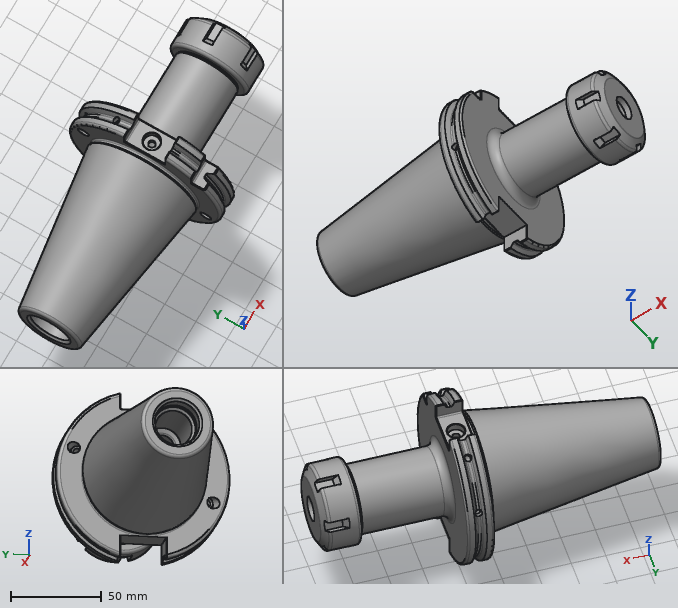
import cadquery as cq
import math


GAUGE_DIA = 69.85
TAPER_RATIO = 7 / 24
TAPER_LENGTH = 101.75
TAPER_END_FILLET = 2.0

NECK_DEPTH = 0.6
NECK_CHAMFER_LENGTH = 0.9
NECK_FILLET = 0.8

FLANGE_DIA = 97.5
FLANGE_START = 3.2
FLANGE_WIDTH = 15.9
FLANGE_REAR_FILLET = 1.7
FLANGE_FRONT_FILLET = 1.2
GRIP_GROOVE_X = 11.2
GRIP_GROOVE_WIDTH = 6.5
GRIP_GROOVE_DEPTH = 3.2
GRIP_GROOVE_HALF_ANGLE = 30
GRIP_GROOVE_FILLET = 1.0

DRIVE_SLOT_WIDTH = 25.7
TOP_SLOT_FLOOR = 37.7
BOTTOM_SLOT_FLOOR = 35.3
NOTCH_WALL_Y = -30.0
NOTCH_FLOOR_Z = 30.0
SLOT_CORNER_FILLET = 0.8
SLOT_EDGE_CHAMFER = 0.5
CHIP_HOLE_DIA = 10.0
CHIP_HOLE_DEPTH = 4.6
CHIP_HOLE_CHAMFER = 0.3
CHIP_PILOT_DIA = 4.2
CHIP_PILOT_DEPTH = 3.0
COOLANT_HOLE_DIA = 6.3
COOLANT_HOLE_DEPTH = 5.0
COOLANT_PILOT_DIA = 4.0
COOLANT_PILOT_DEPTH = 11.0
COOLANT_CIRCLE_RADIUS = 41.7
COOLANT_TILT = 28
COOLANT_ANGLE = 19.5
GROOVE_HOLE_DIA = 4.0
GROOVE_HOLE_DEPTH = 3.0
BALANCE_HOLE_ANGLE = 60
DRILL_POINT_ANGLE = 118

SHANK_DIA = 40.0
SHANK_FILLET = 5.0
SHANK_END = 72.0
SHANK_CHAMFER = 0.7

BORE_DIA = 14.0
MOUTH_DIA = 28.0
COUNTERBORE_DIA = 25.0
COUNTERBORE_DEPTH = 9.0
THREAD_RELIEF_DIA = 24.0
THREAD_RELIEF_LENGTH = 2.0
THREAD_BORE_DIA = 20.75
THREAD_BORE_DEPTH = 47.0
THREAD_END_DIA = 16.0

NOSE_END = 95.28
NUT_DIA = 50.0
NUT_LENGTH = 22.5
NUT_REAR_FILLET = 2.0
NUT_CONE_LENGTH = 3.7
NUT_CONE_ANGLE = 60
NUT_CONE_FILLET = 2.0
NUT_FACE_FILLET = 0.5
NUT_SLOT_COUNT = 6
NUT_SLOT_WIDTH = 6.0
NUT_SLOT_FLOOR_RADIUS = 21.7
NUT_SLOT_FLOOR_LENGTH = 12.2
NUT_SLOT_ANGLE = 10.7

OVERCUT = 1.0
EDGE_MARGIN = 0.01

GAUGE_RADIUS = GAUGE_DIA / 2
FLANGE_RADIUS = FLANGE_DIA / 2
FLANGE_END = FLANGE_START + FLANGE_WIDTH
SHANK_RADIUS = SHANK_DIA / 2
SPIGOT_RADIUS = SHANK_RADIUS - SHANK_CHAMFER
SPIGOT_END = NOSE_END - NUT_CONE_LENGTH
TAPER_REAR = -TAPER_LENGTH
TAPER_REAR_RADIUS = GAUGE_RADIUS - TAPER_LENGTH * TAPER_RATIO / 2
NUT_START = NOSE_END - NUT_LENGTH


def spin(outline):
    """Turn a closed outline in the XZ plane about the X axis."""
    return outline.revolve(360, (0, 0, 0), (1, 0, 0))


def revolve(points):
    """Turn a closed polygon of (x, radius) points about the X axis."""
    return spin(cq.Workplane("XZ").polyline(points).close())


def circle_at(x, radius):
    """Selector for the circular edge of this radius at this place along X."""
    return cq.selectors.BoxSelector(
        (x - EDGE_MARGIN, -radius - EDGE_MARGIN, -radius - EDGE_MARGIN),
        (x + EDGE_MARGIN, radius + EDGE_MARGIN, radius + EDGE_MARGIN),
        boundingbox=True,
    )


def drill_point_length(diameter):
    return diameter / 2 / math.tan(math.radians(DRILL_POINT_ANGLE / 2))


def turned_taper():
    neck_radius = GAUGE_RADIUS - NECK_DEPTH
    outline = (
        cq.Workplane("XZ")
        .moveTo(TAPER_REAR, 0)
        .lineTo(TAPER_REAR, TAPER_REAR_RADIUS)
        .lineTo(0, GAUGE_RADIUS)
        .lineTo(NECK_CHAMFER_LENGTH, neck_radius)
        .lineTo(FLANGE_START - NECK_FILLET, neck_radius)
        .radiusArc((FLANGE_START, neck_radius + NECK_FILLET), -NECK_FILLET)
        .lineTo(FLANGE_START, 0)
        .close()
    )
    taper = spin(outline)
    return taper.faces("<X").edges().fillet(TAPER_END_FILLET)


def grip_groove():
    half_top = GRIP_GROOVE_WIDTH / 2
    slope = math.tan(math.radians(GRIP_GROOVE_HALF_ANGLE))
    half_floor = half_top - GRIP_GROOVE_DEPTH * slope
    half_mouth = half_top + OVERCUT * slope
    root = FLANGE_RADIUS - GRIP_GROOVE_DEPTH
    mouth = FLANGE_RADIUS + OVERCUT
    ring = revolve([
        (GRIP_GROOVE_X - half_floor, root),
        (GRIP_GROOVE_X + half_floor, root),
        (GRIP_GROOVE_X + half_mouth, mouth),
        (GRIP_GROOVE_X - half_mouth, mouth),
    ])
    for x in (GRIP_GROOVE_X - half_floor, GRIP_GROOVE_X + half_floor):
        ring = ring.edges(circle_at(x, root)).fillet(GRIP_GROOVE_FILLET)
    return ring


def block(y_low, y_high, z_low, z_high):
    """A cutter across the whole flange width."""
    return cq.Workplane("XY").box(
        FLANGE_WIDTH, y_high - y_low, z_high - z_low, centered=False
    ).translate((FLANGE_START, y_low, z_low))


def slotted_flange():
    disc = cq.Workplane("YZ").workplane(offset=FLANGE_START).circle(FLANGE_RADIUS).extrude(FLANGE_WIDTH)
    disc = disc.faces("<X").edges().fillet(FLANGE_REAR_FILLET)
    disc = disc.faces(">X").edges().fillet(FLANGE_FRONT_FILLET)
    disc = disc.cut(grip_groove())

    outside = FLANGE_RADIUS + OVERCUT
    half_slot = DRIVE_SLOT_WIDTH / 2
    top_slot = block(-half_slot, half_slot, TOP_SLOT_FLOOR, outside)
    notch = block(-outside, NOTCH_WALL_Y, NOTCH_FLOOR_Z, outside)
    for rounded_cutter in (top_slot, notch):
        disc = disc.cut(rounded_cutter.edges("|X").fillet(SLOT_CORNER_FILLET))
    disc = disc.cut(block(-half_slot, half_slot, -outside, -BOTTOM_SLOT_FLOOR))

    straight_edges = disc.faces("<X or >X").edges("%LINE")
    broken_edges = straight_edges.filter(
        lambda edge: abs(edge.Center().z + BOTTOM_SLOT_FLOOR) > EDGE_MARGIN
    )
    return broken_edges.chamfer(SLOT_EDGE_CHAMFER)


def drilled_hole(diameter, depth):
    """A blind hole with a drill point, running along +X from the origin."""
    return revolve([
        (0, 0),
        (0, diameter / 2),
        (depth, diameter / 2),
        (depth + drill_point_length(diameter), 0),
    ])


def chip_hole():
    """Pocket for a data chip in the top slot floor, with a pilot hole and a chamfered rim."""
    pocket = cq.Workplane("XY", origin=(GRIP_GROOVE_X, 0, TOP_SLOT_FLOOR)).circle(CHIP_HOLE_DIA / 2)
    pocket = pocket.extrude(-CHIP_HOLE_DEPTH)
    rim = cq.Solid.makeCone(
        CHIP_HOLE_DIA / 2,
        CHIP_HOLE_DIA / 2 + CHIP_HOLE_CHAMFER,
        CHIP_HOLE_CHAMFER,
        pnt=cq.Vector(GRIP_GROOVE_X, 0, TOP_SLOT_FLOOR - CHIP_HOLE_CHAMFER),
    )
    pilot = drilled_hole(CHIP_PILOT_DIA, CHIP_PILOT_DEPTH).rotate((0, 0, 0), (0, 1, 0), 90)
    pilot = pilot.translate((GRIP_GROOVE_X, 0, TOP_SLOT_FLOOR - CHIP_HOLE_DEPTH))
    return pocket.union(cq.Workplane(rim)).union(pilot)


def at_angle(cutter, angle):
    """Swing a cutter that lies on the +Y side about the X axis, toward +Z."""
    return cutter.rotate((0, 0, 0), (1, 0, 0), angle)


def coolant_hole():
    """Stepped hole on the +Y side, entering the rear flange face and leaning toward the axis."""
    hole = drilled_hole(COOLANT_HOLE_DIA, COOLANT_HOLE_DEPTH)
    hole = hole.union(drilled_hole(COOLANT_PILOT_DIA, COOLANT_PILOT_DEPTH))
    mouth = cq.Workplane("YZ").circle(COOLANT_HOLE_DIA / 2).extrude(-COOLANT_HOLE_DIA)
    hole = hole.union(mouth).rotate((0, 0, 0), (0, 0, 1), -COOLANT_TILT)
    return hole.translate((FLANGE_START, COOLANT_CIRCLE_RADIUS, 0))


def groove_hole():
    """Radial blind hole on the +Y side, in the floor of the grip groove."""
    hole = drilled_hole(GROOVE_HOLE_DIA, GRIP_GROOVE_DEPTH + GROOVE_HOLE_DEPTH)
    hole = hole.rotate((0, 0, 0), (0, 0, 1), -90)
    return hole.translate((GRIP_GROOVE_X, FLANGE_RADIUS, 0))


def turned_shank():
    root = SHANK_RADIUS + SHANK_FILLET
    outline = (
        cq.Workplane("XZ")
        .moveTo(FLANGE_END, 0)
        .lineTo(FLANGE_END, root)
        .radiusArc((FLANGE_END + SHANK_FILLET, SHANK_RADIUS), -SHANK_FILLET)
        .lineTo(SHANK_END - SHANK_CHAMFER, SHANK_RADIUS)
        .lineTo(SHANK_END, SPIGOT_RADIUS)
        .lineTo(SPIGOT_END, SPIGOT_RADIUS)
        .lineTo(SPIGOT_END, 0)
        .close()
    )
    return spin(outline)


def body_bore():
    mouth_step = (MOUTH_DIA - COUNTERBORE_DIA) / 2
    entry_step = (THREAD_RELIEF_DIA - THREAD_BORE_DIA) / 2
    bore_step = (THREAD_END_DIA - BORE_DIA) / 2
    relief_start = TAPER_REAR + COUNTERBORE_DEPTH
    relief_end = relief_start + THREAD_RELIEF_LENGTH
    thread_end = TAPER_REAR + THREAD_BORE_DEPTH
    point_end = thread_end + drill_point_length(THREAD_BORE_DIA) - drill_point_length(THREAD_END_DIA)
    return revolve([
        (TAPER_REAR, 0),
        (TAPER_REAR, MOUTH_DIA / 2),
        (TAPER_REAR + mouth_step, COUNTERBORE_DIA / 2),
        (relief_start, COUNTERBORE_DIA / 2),
        (relief_start, THREAD_RELIEF_DIA / 2),
        (relief_end, THREAD_RELIEF_DIA / 2),
        (relief_end + entry_step, THREAD_BORE_DIA / 2),
        (thread_end, THREAD_BORE_DIA / 2),
        (point_end, THREAD_END_DIA / 2),
        (point_end + bore_step, BORE_DIA / 2),
        (SPIGOT_END, BORE_DIA / 2),
        (SPIGOT_END, 0),
    ])


def make_body():
    body = turned_taper().union(slotted_flange()).union(turned_shank())
    body = body.cut(body_bore()).cut(chip_hole())
    coolant_angles = (COOLANT_ANGLE, COOLANT_ANGLE + 180)
    for angle in coolant_angles:
        body = body.cut(at_angle(coolant_hole(), angle))
    for angle in (*coolant_angles, BALANCE_HOLE_ANGLE):
        body = body.cut(at_angle(groove_hole(), angle))
    return body


def nut_slot():
    """Cutter for one wrench slot at +Z, with a 45 degree run-out at its rear end."""
    top = NUT_DIA / 2 + OVERCUT
    floor_start = NOSE_END - NUT_SLOT_FLOOR_LENGTH
    run_out = top - NUT_SLOT_FLOOR_RADIUS
    return (
        cq.Workplane("XZ")
        .polyline([
            (floor_start, NUT_SLOT_FLOOR_RADIUS),
            (NOSE_END, NUT_SLOT_FLOOR_RADIUS),
            (NOSE_END, top),
            (floor_start - run_out, top),
        ])
        .close()
        .extrude(NUT_SLOT_WIDTH / 2, both=True)
    )


def make_nut():
    radius = NUT_DIA / 2
    face_radius = radius - NUT_CONE_LENGTH * math.tan(math.radians(NUT_CONE_ANGLE))
    cone_start = NOSE_END - NUT_CONE_LENGTH
    nut = revolve([
        (NUT_START, 0),
        (NUT_START, radius),
        (cone_start, radius),
        (NOSE_END, face_radius),
        (NOSE_END, 0),
    ])
    nut = nut.edges(circle_at(NUT_START, radius)).fillet(NUT_REAR_FILLET)
    nut = nut.edges(circle_at(cone_start, radius)).fillet(NUT_CONE_FILLET)
    nut = nut.edges(circle_at(NOSE_END, face_radius)).fillet(NUT_FACE_FILLET)
    spigot_bore = revolve([
        (NUT_START, 0),
        (NUT_START, SPIGOT_RADIUS),
        (SPIGOT_END, SPIGOT_RADIUS),
        (SPIGOT_END, BORE_DIA / 2),
        (NOSE_END, BORE_DIA / 2),
        (NOSE_END, 0),
    ])
    nut = nut.cut(spigot_bore)
    for index in range(NUT_SLOT_COUNT):
        angle = index * 360 / NUT_SLOT_COUNT - NUT_SLOT_ANGLE
        nut = nut.cut(nut_slot().rotate((0, 0, 0), (1, 0, 0), angle))
    return nut


body = make_body()
nut = make_nut()
result = cq.Compound.makeCompound([body.val(), nut.val()])